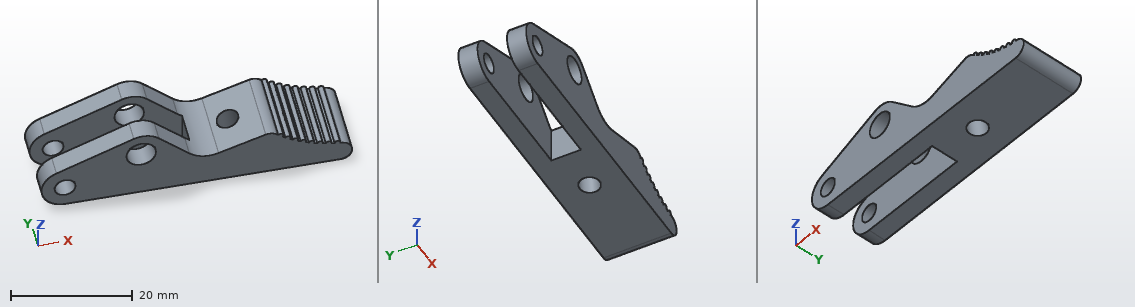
import cadquery as cq
import math

length = 52.45
width = 12.7
height = 13.3

lobe_radius = 4.0
valley_radius = 5.0
tip_radius = 2.0
grip_radius = 19.3
heel = (lobe_radius, lobe_radius)
shoulder = (17.05, height - lobe_radius)
valley = (28.35, 11.0)
crest = (38.45, 7.0)
tip = (length - tip_radius, tip_radius)

slot_width = 5.5
slot_end = 25.75
pivot_hole_diameter = 3.5
pin_hole_diameter = 5.0
pin_hole_center = (16.85, 9.0)
cross_hole_diameter = 3.7
cross_hole_entry = (32.85, 7.0)
cross_hole_tilt = 9.0
cross_hole_reach = 10.5

rib_count = 8
rib_radius = 0.5
rib_pitch = 1.5
rib_row_shift = 0.08


def offset(point, distance, angle):
    """Point at a distance from another one, in the direction of an angle in radians."""
    return (point[0] + distance * math.cos(angle), point[1] + distance * math.sin(angle))


def direction(start, end):
    return math.atan2(end[1] - start[1], end[0] - start[0])


def inner_tangent(upper_center, upper_radius, lower_center, lower_radius, side):
    """Line touching a convex corner from above and a valley from below.

    The side is 1 when the valley lies to the right of the corner, -1 to the left.
    """
    lean = math.acos((upper_radius + lower_radius) / math.dist(upper_center, lower_center))
    normal = direction(upper_center, lower_center) + side * lean
    on_upper = offset(upper_center, upper_radius, normal)
    on_lower = offset(lower_center, -lower_radius, normal)
    return on_upper, on_lower


half_span = math.dist(crest, tip) / 2
grip_rise = math.sqrt((grip_radius + tip_radius) ** 2 - half_span**2)
grip_middle = ((crest[0] + tip[0]) / 2, (crest[1] + tip[1]) / 2)
grip_center = offset(grip_middle, grip_rise, direction(crest, tip) + math.pi / 2)


def make_body():
    top_normal = direction(heel, shoulder) + math.pi / 2
    heel_end = offset(heel, lobe_radius, top_normal)
    shoulder_start = offset(shoulder, lobe_radius, top_normal)
    shoulder_end, valley_start = inner_tangent(shoulder, lobe_radius, valley, valley_radius, 1)
    crest_start, valley_end = inner_tangent(crest, tip_radius, valley, valley_radius, -1)
    grip_start = offset(crest, tip_radius, direction(crest, grip_center))
    grip_end = offset(tip, tip_radius, direction(tip, grip_center))
    grip_low = offset(grip_center, grip_radius, direction(grip_center, grip_middle))
    return (
        cq.Workplane("XZ")
        .moveTo(heel[0], 0)
        .threePointArc((0, heel[1]), heel_end)
        .lineTo(*shoulder_start)
        .threePointArc((shoulder[0], height), shoulder_end)
        .lineTo(*valley_start)
        .threePointArc((valley[0], valley[1] - valley_radius), valley_end)
        .lineTo(*crest_start)
        .threePointArc((crest[0], crest[1] + tip_radius), grip_start)
        .threePointArc(grip_low, grip_end)
        .threePointArc((length, tip[1]), (tip[0], 0))
        .close()
        .extrude(width / 2, both=True)
    )


def make_cross_bar(center, diameter):
    """Round bar along Y over the full width of the part."""
    return cq.Workplane("XZ").center(*center).circle(diameter / 2).extrude(width / 2, both=True)


def make_slot():
    return cq.Workplane("XY").box(slot_end, slot_width, height, centered=(False, True, False))


def make_cross_hole():
    """Leaning hole through the sloped face, its lower end shifted towards +X."""
    return (
        cq.Workplane("XY")
        .circle(cross_hole_diameter / 2)
        .extrude(2 * cross_hole_reach)
        .translate((0, 0, -cross_hole_reach))
        .rotate((0, 0, 0), (0, 1, 0), -cross_hole_tilt)
        .translate((cross_hole_entry[0], 0, cross_hole_entry[1]))
    )


result = make_body()

middle_angle = direction(grip_center, grip_middle)
for index in range(rib_count):
    distance_along = (index - (rib_count - 1) / 2) * rib_pitch + rib_row_shift
    rib_center = offset(grip_center, grip_radius, middle_angle + distance_along / grip_radius)
    result = result.union(make_cross_bar(rib_center, 2 * rib_radius))

result = result.cut(make_slot())
result = result.cut(make_cross_bar(heel, pivot_hole_diameter))
result = result.cut(make_cross_bar(pin_hole_center, pin_hole_diameter))
result = result.cut(make_cross_hole())